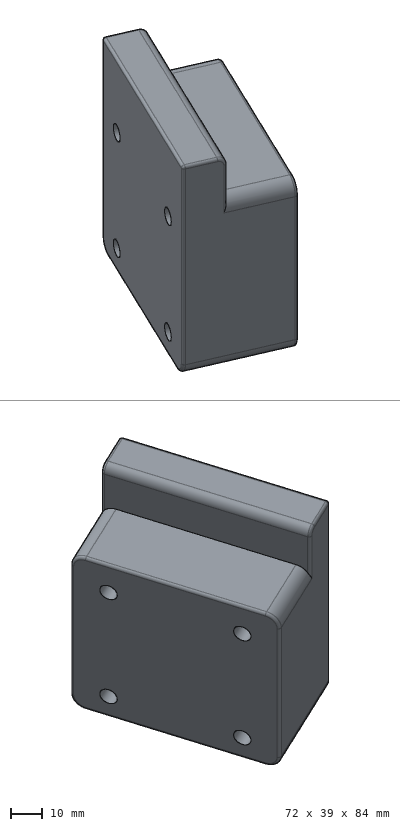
import cadquery as cq

width = 72.0
height = 84.0
depth = 39.0
plate_thickness = 14.95
block_height = 67.0

corner_radius = 5.0
edge_radius = 1.0
lip_radius = 3.0

hole_diameter = 6.0
hole_spacing = 46.0
lowest_hole_height = 9.0


def upright_slab(slab_height, thickness):
    """Full-width slab standing on Z = 0 with its front face at Y = 0."""
    return cq.Workplane("XY").box(width, thickness, slab_height, centered=(True, False, False))


def make_plate():
    """Tall front plate with large bottom corners and a rounded rear top lip."""
    plate = upright_slab(height, plate_thickness)
    plate = plate.edges("|Y and <Z").fillet(corner_radius)
    plate = plate.edges(">Y and >Z").fillet(lip_radius)
    return plate.edges("|Y and >Z").fillet(edge_radius)


def make_block():
    """Lower block with all four corners along Y rounded."""
    block = upright_slab(block_height, depth)
    return block.edges("|Y").fillet(corner_radius)


def mounting_holes():
    """Square pattern of holes running through the full depth."""
    pattern_center_height = lowest_hole_height + hole_spacing / 2
    return (
        cq.Workplane("XZ", origin=(0, 0, pattern_center_height))
        .rarray(hole_spacing, hole_spacing, 2, 2)
        .circle(hole_diameter / 2)
        .extrude(-depth)
    )


body = make_plate().union(make_block())
body = body.faces("<Y or >Y").edges().fillet(edge_radius)
result = body.cut(mounting_holes())